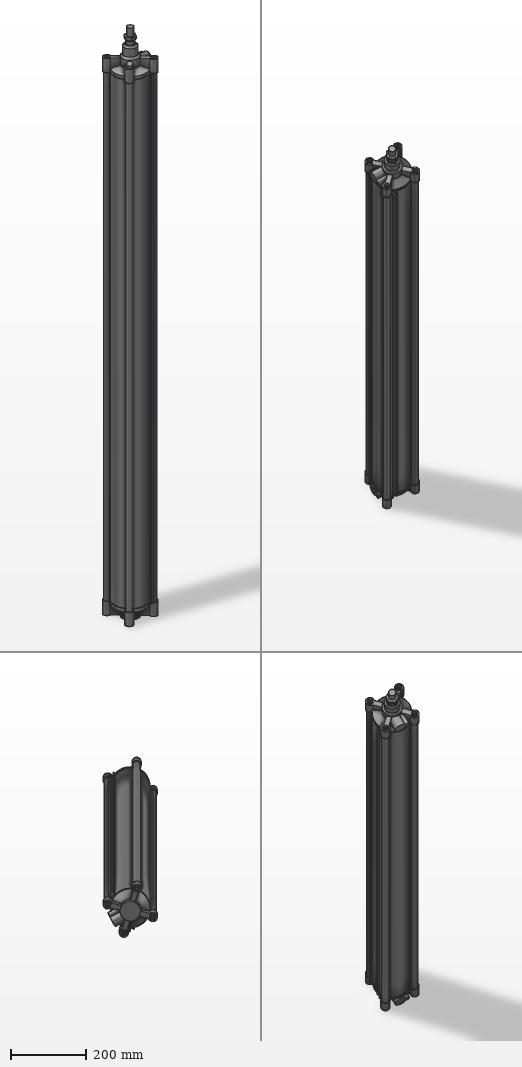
import cadquery as cq

TOTAL_LENGTH = 1757.0
COLLAR_HEIGHT = 4.0
CAP_HEIGHT = 42.0
CAP_TOP_TO_TIP = 91.0

HEAD_TOP = TOTAL_LENGTH - CAP_TOP_TO_TIP
HEAD_BASE = HEAD_TOP - CAP_HEIGHT
FOOT_TOP = COLLAR_HEIGHT + CAP_HEIGHT
BARREL_LENGTH = HEAD_BASE - FOOT_TOP

WIDTH = 112.0
BOSS_DIAMETER = 25.0
BOSS_OFFSET = (WIDTH - BOSS_DIAMETER) / 2
HUB_DIAMETER = 55.0
RING_HEIGHT = 10.0
CONE_RISE = 10.0
WEB_WIDTH = 14.0
WEB_LENGTH = 2 * BOSS_OFFSET * 2 ** 0.5
SCREW_HEAD_DIAMETER = 16.0
SCREW_HEAD_DEPTH = 10.0
SCREW_HOLE_DIAMETER = 9.5

PORT_DIAMETER = 32.0
PORT_X = 5.0
CUSHION_DIAMETER = 16.0
CUSHION_X = -14.0
PORT_Z = CAP_HEIGHT - PORT_DIAMETER / 2

GLAND_DIAMETER = 42.0
GLAND_TOP = 1706.0
GLAND_CHAMFER = 5.0
FLARE_HEIGHT = (HUB_DIAMETER - GLAND_DIAMETER) / 2

BARREL_DIAMETER = 105.0
BORE_DIAMETER = 100.0
LOBE_DIAMETER = 20.0
RAIL_Y = 26.0
RAIL_WIDTH = 15.0
RAIL_DEPTH = 10.0
SLOT_WIDTH = 9.0
SLOT_DEPTH = 5.0

ROD_DIAMETER = 25.0
THREAD_DIAMETER = 20.0
THREAD_LENGTH = 37.0
ROD_CHAMFER = 4.0
NUT_ACROSS_FLATS = 30.0
NUT_HEIGHT = 10.0
NUT_CHAMFER = 4.0
SHOULDER_Z = TOTAL_LENGTH - THREAD_LENGTH
NUT_TOP = SHOULDER_Z + NUT_HEIGHT

CORNERS = [(x, y) for x in (-BOSS_OFFSET, BOSS_OFFSET) for y in (-BOSS_OFFSET, BOSS_OFFSET)]


def disc(diameter, bottom, top):
    """Upright cylinder on the Z axis."""
    return cq.Workplane("XY").workplane(offset=bottom).circle(diameter / 2).extrude(top - bottom)


def cone(lower_diameter, upper_diameter, bottom, height):
    """Upright truncated cone on the Z axis."""
    solid = cq.Solid.makeCone(lower_diameter / 2, upper_diameter / 2, height, pnt=(0, 0, bottom))
    return cq.Workplane(obj=solid)


def corner_discs(diameter, bottom, top):
    """One upright cylinder on each corner axis."""
    plane = cq.Workplane("XY").workplane(offset=bottom)
    return plane.pushPoints(CORNERS).circle(diameter / 2).extrude(top - bottom)


def side_boss(diameter, x):
    """Horizontal cylinder from the cap axis out to the +Y side."""
    return cq.Workplane("XZ").center(x, PORT_Z).circle(diameter / 2).extrude(-WIDTH / 2)


def make_cap():
    """Cap with its barrel side on Z = 0 and its pilot collar pointing up."""
    cap = disc(BARREL_DIAMETER, 0, RING_HEIGHT)
    cap = cap.union(cone(BARREL_DIAMETER, HUB_DIAMETER, RING_HEIGHT, CONE_RISE))
    cap = cap.union(disc(HUB_DIAMETER, 0, CAP_HEIGHT + COLLAR_HEIGHT))
    cap = cap.union(corner_discs(BOSS_DIAMETER, 0, CAP_HEIGHT))
    for angle in (45, -45):
        web = cq.Workplane("XY").rect(WEB_LENGTH, WEB_WIDTH).extrude(CAP_HEIGHT)
        cap = cap.union(web.rotate((0, 0, 0), (0, 0, 1), angle))
    cap = cap.union(side_boss(PORT_DIAMETER, PORT_X))
    cap = cap.union(side_boss(CUSHION_DIAMETER, CUSHION_X))
    cap = cap.cut(corner_discs(SCREW_HOLE_DIAMETER, 0, CAP_HEIGHT))
    return cap.cut(corner_discs(SCREW_HEAD_DIAMETER, CAP_HEIGHT - SCREW_HEAD_DEPTH, CAP_HEIGHT))


def make_head_cap():
    """Upper cap with the rod gland and the hole for the rod."""
    gland = disc(GLAND_DIAMETER, HEAD_TOP, GLAND_TOP).faces(">Z").chamfer(GLAND_CHAMFER)
    flare = cone(HUB_DIAMETER, GLAND_DIAMETER, HEAD_TOP + COLLAR_HEIGHT, FLARE_HEIGHT)
    cap = make_cap().translate((0, 0, HEAD_BASE)).union(gland).union(flare)
    return cap.cut(disc(ROD_DIAMETER, HEAD_BASE, GLAND_TOP))


def make_foot_cap():
    """Lower cap, the mirror image of the plain cap with its collar pointing down."""
    return make_cap().mirror("XY").translate((0, 0, FOOT_TOP))


def make_lobe():
    """Round corner lobe at +X +Y, squared off inwards where it joins the tube."""
    radius = LOBE_DIAMETER / 2
    return (
        cq.Workplane("XY")
        .workplane(offset=FOOT_TOP)
        .center(BOSS_OFFSET, BOSS_OFFSET)
        .moveTo(-radius, 0)
        .radiusArc((0, radius), radius)
        .radiusArc((radius, 0), radius)
        .radiusArc((0, -radius), radius)
        .lineTo(-radius, -radius)
        .close()
        .extrude(BARREL_LENGTH)
    )


def make_barrel():
    """Tube between the caps, with four corner lobes and a slotted rail on each X side."""
    barrel = disc(BARREL_DIAMETER, FOOT_TOP, HEAD_BASE)
    for quarter in range(4):
        barrel = barrel.union(make_lobe().rotate((0, 0, 0), (0, 0, 1), 90 * quarter))
    base = cq.Workplane("XY").workplane(offset=FOOT_TOP)
    for side in (-1, 1):
        rail_x = side * (WIDTH - RAIL_DEPTH) / 2
        slot_x = side * (WIDTH - SLOT_DEPTH) / 2
        rail = base.center(rail_x, RAIL_Y).rect(RAIL_DEPTH, RAIL_WIDTH).extrude(BARREL_LENGTH)
        slot = base.center(slot_x, RAIL_Y).rect(SLOT_DEPTH, SLOT_WIDTH).extrude(BARREL_LENGTH)
        barrel = barrel.union(rail).cut(slot)
    return barrel.cut(disc(BORE_DIAMETER, FOOT_TOP, HEAD_BASE))


def make_rod():
    """Rod through the head cap, stepped down to its threaded end."""
    shaft = disc(ROD_DIAMETER, HEAD_BASE, SHOULDER_Z).faces(">Z").chamfer(ROD_CHAMFER)
    return shaft.union(disc(THREAD_DIAMETER, SHOULDER_Z - ROD_CHAMFER, TOTAL_LENGTH))


def make_nut():
    """Hexagon nut resting on the rod shoulder, with two corners towards -Y and +Y."""
    corner_diameter = NUT_ACROSS_FLATS * 2 / 3 ** 0.5
    hexagon = (
        cq.Workplane("XY")
        .workplane(offset=SHOULDER_Z)
        .polygon(6, corner_diameter)
        .extrude(NUT_HEIGHT)
        .rotate((0, 0, 0), (0, 0, 1), 90)
    )
    envelope = disc(corner_diameter, SHOULDER_Z, NUT_TOP).faces("<Z").chamfer(NUT_CHAMFER)
    return hexagon.intersect(envelope).cut(disc(THREAD_DIAMETER, SHOULDER_Z, NUT_TOP))


head_cap = make_head_cap()
foot_cap = make_foot_cap()
barrel = make_barrel()
rod = make_rod()
nut = make_nut()

bodies = [head_cap, foot_cap, barrel, rod, nut]
result = cq.Compound.makeCompound([body.solids().val() for body in bodies])